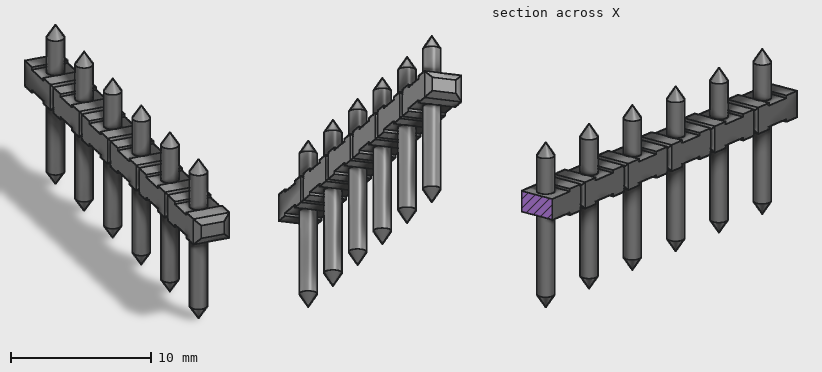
import cadquery as cq

pin_count = 6
pitch = 5.0

pin_diameter = 1.3
pin_length = 12.5
tip_length = 1.0

body_length = 4.5
body_width = 2.8
body_height = 2.0
body_bottom = 7.0
body_middle = body_bottom + body_height / 2

relief_length = 2.0
relief_depth = 0.2

taper_length = (pitch - body_length) / 2
taper_inset = 0.5
end_face_width = body_width - 2 * taper_inset
end_face_height = body_height - 2 * taper_inset


def make_pin():
    """Shaft with a cone at each end, revolved about the Z axis."""
    radius = pin_diameter / 2
    profile = (
        cq.Workplane("XZ")
        .moveTo(0, 0)
        .lineTo(radius, tip_length)
        .lineTo(radius, pin_length - tip_length)
        .lineTo(0, pin_length)
        .close()
    )
    return profile.revolve(360, (0, 0, 0), (0, 1, 0))


def make_taper(direction):
    """Frustum on the body end facing direction (+1 or -1 along X)."""
    root = cq.Workplane("YZ", origin=(direction * body_length / 2, 0, body_middle))
    return (
        root.rect(body_width, body_height)
        .workplane(offset=direction * taper_length)
        .rect(end_face_width, end_face_height)
        .loft(ruled=True)
    )


def make_block():
    """Solid body with both reliefs cut and both tapered ends added."""
    block = cq.Workplane("XY").box(body_length, body_width, body_height)
    block = block.translate((0, 0, body_middle))
    waist_height = body_height - 2 * relief_depth
    relief_offset = (waist_height + relief_depth) / 2
    for side in (-1, 1):
        relief = cq.Workplane("XY").box(relief_length, body_width, relief_depth)
        block = block.cut(relief.translate((0, 0, body_middle + side * relief_offset)))
        block = block.union(make_taper(side))
    return block


unit = make_block().union(make_pin())
first_pin_x = -pitch * (pin_count - 1) / 2
result = unit.translate((first_pin_x, 0, 0))
for index in range(1, pin_count):
    result = result.union(unit.translate((first_pin_x + index * pitch, 0, 0)))